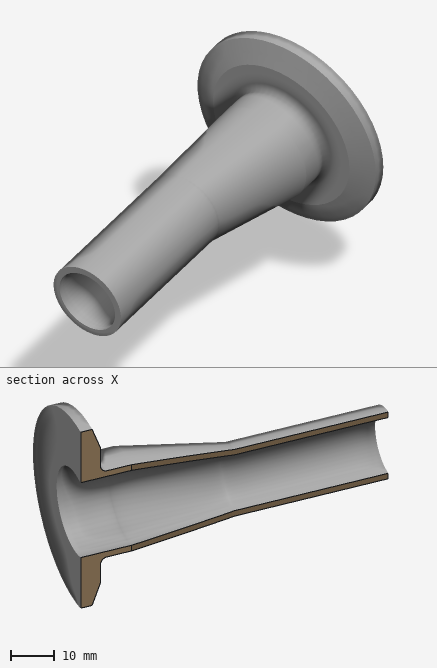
import cadquery as cq

total_length = 76.2
ferrule_length = 12.7
cone_length = 25.4
tube_start = ferrule_length + cone_length
tube_length = total_length - tube_start

wall = 1.7
large_radius = 25.4 / 2
small_radius = 19.05 / 2
axis_offset = large_radius - small_radius

flange_radius = 50.45 / 2
rim_thickness = 2.9
flange_thickness = 5.0
flat_face_radius = 19.3
neck_fillet = 1.5


def make_ferrule():
    """Clamp flange with a beveled front, a filleted neck and a through bore."""
    bore_radius = large_radius - wall
    fillet_start = (large_radius + neck_fillet, -flange_thickness)
    fillet_end = (large_radius, -flange_thickness - neck_fillet)
    fillet_reach = neck_fillet * (1 - 0.5 ** 0.5)
    fillet_middle = (large_radius + fillet_reach, -flange_thickness - fillet_reach)
    return (
        cq.Workplane("XY")
        .moveTo(bore_radius, 0)
        .lineTo(flange_radius, 0)
        .lineTo(flange_radius, -rim_thickness)
        .lineTo(flat_face_radius, -flange_thickness)
        .lineTo(*fillet_start)
        .threePointArc(fillet_middle, fillet_end)
        .lineTo(large_radius, -ferrule_length)
        .lineTo(bore_radius, -ferrule_length)
        .close()
        .revolve(360, (0, 0, 0), (0, 1, 0))
    )


def reducer_volume(inset):
    """Solid eccentric cone and straight tube, with radii reduced by inset."""
    cone = (
        cq.Workplane("XZ", origin=(0, -ferrule_length, 0))
        .circle(large_radius - inset)
        .workplane(offset=cone_length)
        .center(-axis_offset, 0)
        .circle(small_radius - inset)
        .loft(ruled=True)
    )
    tube = (
        cq.Workplane("XZ", origin=(-axis_offset, -tube_start, 0))
        .circle(small_radius - inset)
        .extrude(tube_length)
    )
    return cone.union(tube)


def make_reducer():
    """Eccentric reducer: the outer shape less its bore."""
    return reducer_volume(0).cut(reducer_volume(wall))


ferrule = make_ferrule()
reducer = make_reducer()

result = cq.Compound.makeCompound([ferrule.val(), *reducer.solids().vals()])